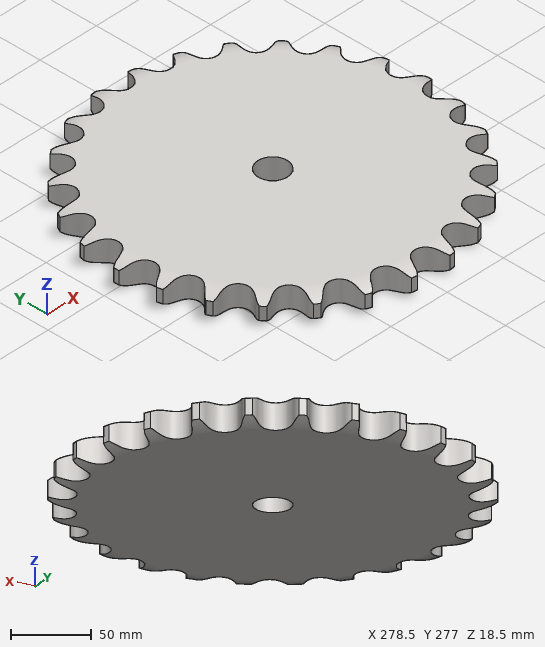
import cadquery as cq
import math


tooth_count = 26
chain_pitch = 31.8
roller_diameter = 19.0
seating_clearance = 0.04
outer_diameter = 278.5
plate_thickness = 18.5
bore_diameter = 25.0
bevel_start_radius = 124.5
bevel_arc_radius = chain_pitch

outer_radius = outer_diameter / 2
half_thickness = plate_thickness / 2
half_tooth_angle = math.pi / tooth_count
pitch_radius = chain_pitch / 2 / math.sin(half_tooth_angle)

seating_angle = math.radians(35 + 60 / tooth_count)
working_angle = math.radians(18 - 56 / tooth_count)
topping_angle = math.radians(17 - 64 / tooth_count)
flank_angle = seating_angle - working_angle

seating_radius = 0.5025 * roller_diameter + seating_clearance
working_radius = 1.3025 * roller_diameter + seating_clearance
working_center_distance = 0.8 * roller_diameter
topping_center_distance = 1.4 * roller_diameter
topping_radius = (
    working_center_distance * math.cos(working_angle)
    + topping_center_distance * math.cos(topping_angle)
    - working_radius
)
flank_length = (
    topping_center_distance * math.sin(topping_angle)
    - working_center_distance * math.sin(working_angle)
)


def polar(center, radius, angle):
    """Point at a distance and direction from a centre."""
    return (center[0] + radius * math.cos(angle), center[1] + radius * math.sin(angle))


def mirrored(point):
    """The same point on the other side of the Y axis."""
    return (-point[0], point[1])


def tooth_gap():
    """Cutter for one tooth gap, centred on the +Y axis."""
    roller_center = (0, pitch_radius)
    working_center = polar(roller_center, working_center_distance, seating_angle)
    topping_center = polar(roller_center, topping_center_distance, math.pi + half_tooth_angle)

    root = polar(roller_center, seating_radius, -math.pi / 2)
    seating_mid = polar(roller_center, seating_radius, (seating_angle - math.pi / 2) / 2 - math.pi / 2)
    seating_end = polar(roller_center, seating_radius, seating_angle - math.pi)
    working_mid = polar(working_center, working_radius, (seating_angle + flank_angle) / 2 - math.pi)
    working_end = polar(working_center, working_radius, flank_angle - math.pi)
    flank_end = polar(working_end, flank_length, flank_angle + math.pi / 2)

    cutter_radius = outer_radius / math.cos(half_tooth_angle)
    topping_center_radius = math.hypot(*topping_center)
    inward_angle = math.atan2(-topping_center[1], -topping_center[0])
    topping_end_angle = inward_angle + math.acos(
        (topping_center_radius**2 + topping_radius**2 - cutter_radius**2)
        / (2 * topping_center_radius * topping_radius)
    )
    topping_mid = polar(topping_center, topping_radius, (flank_angle + topping_end_angle) / 2)
    topping_end = polar(topping_center, topping_radius, topping_end_angle)

    return (
        cq.Workplane("XY")
        .workplane(offset=-half_thickness)
        .moveTo(*root)
        .threePointArc(seating_mid, seating_end)
        .threePointArc(working_mid, working_end)
        .lineTo(*flank_end)
        .threePointArc(topping_mid, topping_end)
        .lineTo(*mirrored(topping_end))
        .threePointArc(mirrored(topping_mid), mirrored(flank_end))
        .lineTo(*mirrored(working_end))
        .threePointArc(mirrored(working_mid), mirrored(seating_end))
        .threePointArc(mirrored(seating_mid), root)
        .close()
        .extrude(plate_thickness, clean=False)
        .val()
    )


def blank():
    """Bored disc whose faces curve tangentially down to a thinner rim."""
    bore_radius = bore_diameter / 2
    bevel_center = (bevel_start_radius, half_thickness - bevel_arc_radius)
    tip_angle = math.acos((outer_radius - bevel_start_radius) / bevel_arc_radius)
    bevel_mid = polar(bevel_center, bevel_arc_radius, (tip_angle + math.pi / 2) / 2)
    bevel_end = polar(bevel_center, bevel_arc_radius, tip_angle)
    return (
        cq.Workplane("XZ")
        .moveTo(bore_radius, -half_thickness)
        .lineTo(bore_radius, half_thickness)
        .lineTo(bevel_start_radius, half_thickness)
        .threePointArc(bevel_mid, bevel_end)
        .lineTo(bevel_end[0], -bevel_end[1])
        .threePointArc((bevel_mid[0], -bevel_mid[1]), (bevel_start_radius, -half_thickness))
        .close()
        .revolve(360, (0, 0), (0, 1))
    )


gap = tooth_gap()
first_gap_angle = 360 / tooth_count / 2 - 90
gaps = [
    gap.rotate((0, 0, 0), (0, 0, 1), first_gap_angle + 360 / tooth_count * i)
    for i in range(tooth_count)
]
gap_cutter = cq.Workplane(obj=cq.Compound.makeCompound(gaps))

sprocket = blank().cut(gap_cutter, clean=False)
result = cq.Workplane(obj=sprocket.solids().val())